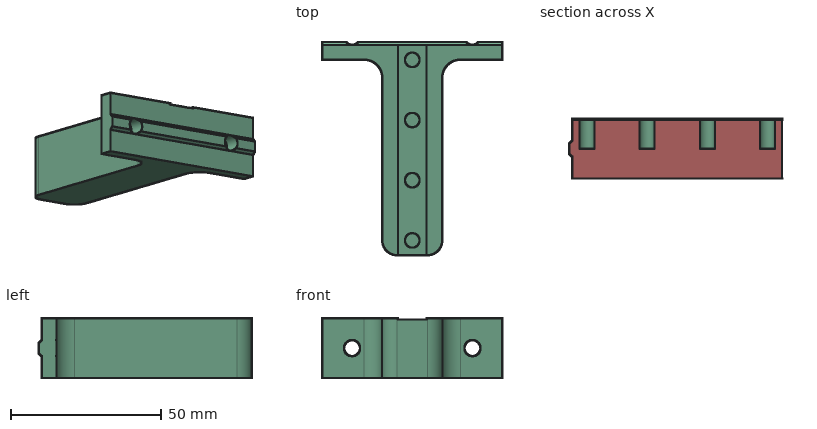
import cadquery as cq

flange_width = 60.0
total_length = 71.0
height = 20.0

rail_height = 1.0
flange_thickness = 5.0
arm_width = 20.0
inner_radius = 5.95
end_radius = 5.0
body_length = total_length - rail_height
top_z = height / 2

rail_tip_width = 3.4
rail_base_width = rail_tip_width + 2 * rail_height

groove_width = 9.5
groove_depth = 0.4

hole_spacing = 20.0
arm_hole_count = 4
arm_hole_diameter = 4.8
arm_hole_depth = height / 2
flange_hole_diameter = 5.25
flange_hole_spacing = 2 * hole_spacing


def make_body():
    """Flange and arm joined by concave fillets, with a rounded free end."""
    flange = cq.Workplane("XY").box(
        flange_width, flange_thickness, height, centered=(True, False, True)
    ).translate((0, -flange_thickness, 0))
    arm = cq.Workplane("XY").box(
        arm_width, body_length, height, centered=(True, False, True)
    ).translate((0, -body_length, 0))
    arm = arm.edges("|Z and <Y").fillet(end_radius)
    body = flange.union(arm)
    for side in (-1, 1):
        corner = (side * arm_width / 2, -flange_thickness, 0)
        body = body.edges(cq.selectors.NearestToPointSelector(corner)).fillet(inner_radius)
    return body


def make_rail():
    """Trapezoidal rail running across the full width of the flange."""
    base = rail_base_width / 2
    tip = rail_tip_width / 2
    return (
        cq.Workplane("YZ")
        .polyline([(0, -base), (rail_height, -tip), (rail_height, tip), (0, base)])
        .close()
        .extrude(flange_width / 2, both=True)
    )


def make_groove():
    """Cutter for the groove, open at both ends of the arm."""
    return cq.Workplane("XY").box(
        groove_width, body_length, groove_depth, centered=(True, False, False)
    ).translate((0, -body_length, top_z - groove_depth))


def make_arm_holes():
    """Cutters for the row of blind holes, the first on the axis of the end radius."""
    first_y = -body_length + end_radius
    centres = [(0, first_y + i * hole_spacing) for i in range(arm_hole_count)]
    return (
        cq.Workplane("XY", origin=(0, 0, top_z))
        .pushPoints(centres)
        .circle(arm_hole_diameter / 2)
        .extrude(-arm_hole_depth)
    )


def make_flange_holes():
    """Cutters for the two holes through the flange and the rail."""
    return (
        cq.Workplane("XZ", origin=(0, rail_height, 0))
        .pushPoints([(-flange_hole_spacing / 2, 0), (flange_hole_spacing / 2, 0)])
        .circle(flange_hole_diameter / 2)
        .extrude(flange_thickness + rail_height)
    )


result = make_body().union(make_rail())
for cutter in (make_groove(), make_arm_holes(), make_flange_holes()):
    result = result.cut(cutter)